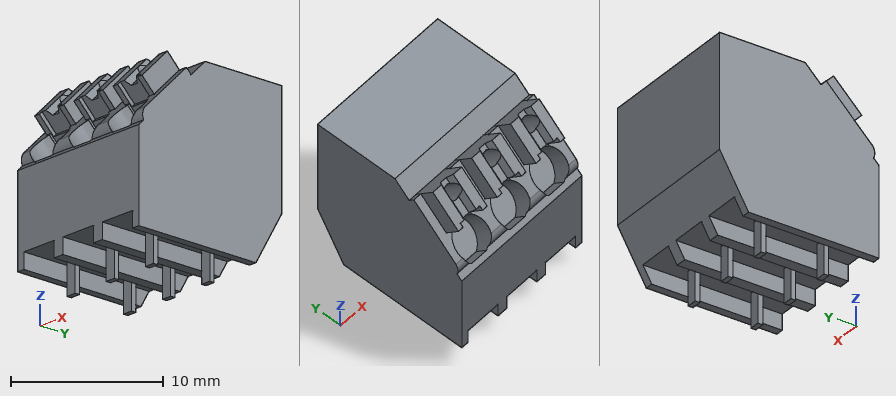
import cadquery as cq
import math


width = 11.82
depth = 12.7
height = 14.66

pole_count = 3
pitch = 3.81
pole_places = [(i - (pole_count - 1) / 2) * pitch for i in range(pole_count)]

housing_bottom = 1.47
housing_top = 14.43
slope_foot = 8.55
rear_chamfer_y = 2.3
rear_chamfer_z = 4.02

platform_start = 0.6
platform_end = 6.55
platform_height = 0.59
round_run = 0.72
round_bulge = 0.13

channel_width = 2.93
channel_top = 2.7

entry_half_width = 1.5
entry_half_length = 1.67
entry_centre = 1.92
entry_reach = 1.45
entry_slot_width = 1.96
entry_floor = -1.29
entry_offset = -0.03

lever_width = 2.83
lever_start = entry_centre + entry_reach
lever_end = platform_end
lever_top = (height - slope_foot) * math.sqrt(2) - lever_end
lever_bottom = entry_floor
notch_width = 1.92
notch_depth = 0.34
notch_floor = 0.31
groove_top_width = 1.19
groove_bottom_width = 0.57
groove_depth = 0.5
tool_hole_diameter = groove_top_width
tool_hole_centre = lever_end - 1.0

pin_width = 0.8
pin_thickness = 0.38
pin_rows = [3.03, 8.03]


def slope_point(along, rise):
    """(Y, Z) of a place on the slope."""
    return (along - rise) / math.sqrt(2), slope_foot + (along + rise) / math.sqrt(2)


def slope_plane(x, rise):
    """Plane parallel to the slope: local x is X, local y runs uphill from the foot."""
    return cq.Plane(origin=(x, *slope_point(0, rise)), xDir=(1, 0, 0), normal=(0, -1, 1))


def slope_block(x, size_x, start, end, bottom, top):
    """Block aligned with the slope and centred on x."""
    block = cq.Workplane(slope_plane(x, bottom)).center(0, (start + end) / 2)
    return block.rect(size_x, end - start).extrude(top - bottom)


def make_shell():
    """Solid housing: side outline with the raised platform on its slope."""
    round_chord = math.hypot(round_run, platform_height)
    round_middle = slope_point(
        platform_start + round_run / 2 - round_bulge * platform_height / round_chord,
        platform_height / 2 + round_bulge * round_run / round_chord,
    )
    outline = (
        cq.Workplane("YZ", origin=(-width / 2, 0, 0))
        .moveTo(0, housing_bottom)
        .lineTo(*slope_point(0, 0))
        .lineTo(*slope_point(platform_start, 0))
        .threePointArc(round_middle, slope_point(platform_start + round_run, platform_height))
        .lineTo(*slope_point(platform_end, platform_height))
        .lineTo(*slope_point(platform_end, 0))
        .lineTo(housing_top - slope_foot, housing_top)
        .lineTo(depth, housing_top)
        .lineTo(depth, housing_bottom + rear_chamfer_z)
        .lineTo(depth - rear_chamfer_y, housing_bottom)
        .close()
    )
    return outline.extrude(width)


def make_wire_entry(x):
    """Blind oval entry, cut off flat at its lower end and joined to the lever by a slot."""
    oval = (
        cq.Workplane(slope_plane(x, entry_floor))
        .center(0, entry_centre)
        .ellipse(entry_half_width, entry_half_length)
        .extrude(lever_top - entry_floor)
    )
    limits = slope_block(
        x, 2 * entry_half_width, entry_centre - entry_reach, lever_start, entry_floor, lever_top
    )
    slot = slope_block(x, entry_slot_width, entry_centre, lever_start, entry_floor, lever_top)
    return oval.intersect(limits).union(slot)


def make_lever_block(x):
    """Outer block of a lever, which is also the shape of its recess in the housing."""
    return slope_block(x, lever_width, lever_start, lever_end, lever_bottom, lever_top)


def make_pin_channel(x):
    """Channel that runs under the housing from front to back."""
    channel_height = channel_top - housing_bottom
    return cq.Workplane("XY", origin=(x, depth / 2, housing_bottom)).box(
        channel_width, depth, channel_height, centered=(True, True, False)
    )


def make_housing():
    body = make_shell()
    for x in pole_places:
        body = body.cut(make_wire_entry(x + entry_offset))
        body = body.cut(make_lever_block(x))
        body = body.cut(make_pin_channel(x))
    return body


def make_lever(x):
    """Push lever with a notched front, a tapered groove on top and a tool hole."""
    notch = slope_block(
        x, notch_width, lever_start, lever_start + notch_depth, notch_floor, lever_top
    )
    front_plane = cq.Plane(
        origin=(x, *slope_point(lever_start, lever_top)), xDir=(1, 0, 0), normal=(0, -1, -1)
    )
    groove = (
        cq.Workplane(front_plane)
        .polyline([
            (-groove_top_width / 2, 0),
            (groove_top_width / 2, 0),
            (groove_bottom_width / 2, -groove_depth),
            (-groove_bottom_width / 2, -groove_depth),
        ])
        .close()
        .extrude(lever_start - lever_end)
    )
    tool_hole = (
        cq.Workplane(slope_plane(x, lever_bottom))
        .center(0, tool_hole_centre)
        .circle(tool_hole_diameter / 2)
        .extrude(lever_top - lever_bottom)
    )
    return make_lever_block(x).cut(notch).cut(groove).cut(tool_hole)


def make_pin(x, y):
    """Flat solder pin that hangs from the roof of its channel."""
    return cq.Workplane("XY", origin=(x, y, 0)).box(
        pin_width, pin_thickness, channel_top, centered=(True, True, False)
    )


housing = make_housing()
levers = [make_lever(x) for x in pole_places]
pins = [make_pin(x, y) for x in pole_places for y in pin_rows]

result = cq.Compound.makeCompound(
    [housing.val()] + [lever.val() for lever in levers] + [pin.val() for pin in pins]
)